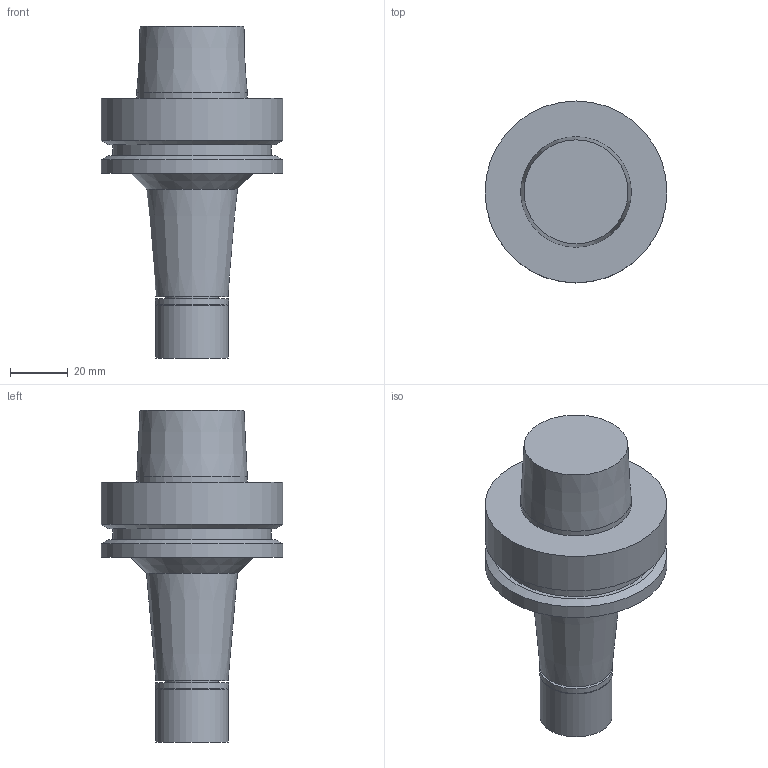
import cadquery as cq
import math


taper_height = 25.0
taper_top_radius = 36.0 / 2
taper_base_radius = 38.3 / 2
taper_land_height = 2.0

flange_radius = 63.0 / 2
flange_thickness = 26.0
groove_floor_radius = 55.0 / 2
groove_centre_z = -18.0
groove_floor_width = 3.75
groove_mouth_width = 6.75
groove_flank_angle = math.radians(60)

transition_top_radius = 42.8 / 2
transition_bottom_radius = 31.5 / 2
transition_height = 5.5
neck_end_radius = 25.0 / 2
neck_length = 37.25

recess_radius = 18.4 / 2
recess_width = 0.75
collar_radius = 25.3 / 2
collar_height = 2.0
collar_bevel_height = 0.3
nut_radius = 25.0 / 2
bottom_z = -90.0

groove_flank_height = (groove_mouth_width - groove_floor_width) / 2
groove_shoulder_radius = flange_radius - groove_flank_height * math.tan(groove_flank_angle)
groove_floor_top_z = groove_centre_z + groove_floor_width / 2
groove_floor_bottom_z = groove_centre_z - groove_floor_width / 2
transition_bottom_z = -flange_thickness - transition_height
neck_end_z = transition_bottom_z - neck_length
collar_top_z = neck_end_z - recess_width
collar_bottom_z = collar_top_z - collar_height


def revolve_profile(outline):
    """Turn an outer outline of (radius, z) points, listed top to bottom, into a solid about Z."""
    axis_top = (0, outline[0][1])
    axis_bottom = (0, outline[-1][1])
    profile = cq.Workplane("YZ").polyline([axis_top, *outline, axis_bottom]).close()
    return profile.revolve(360, (0, 0, 0), (0, 1, 0))


def locating_taper():
    return revolve_profile([
        (taper_top_radius, taper_height),
        (taper_base_radius, taper_land_height),
        (taper_base_radius, 0),
    ])


def flange():
    return revolve_profile([
        (flange_radius, 0),
        (flange_radius, groove_floor_top_z + groove_flank_height),
        (groove_shoulder_radius, groove_floor_top_z),
        (groove_floor_radius, groove_floor_top_z),
        (groove_floor_radius, groove_floor_bottom_z),
        (groove_shoulder_radius, groove_floor_bottom_z),
        (flange_radius, groove_floor_bottom_z - groove_flank_height),
        (flange_radius, -flange_thickness),
    ])


def neck():
    return revolve_profile([
        (transition_top_radius, -flange_thickness),
        (transition_bottom_radius, transition_bottom_z),
        (neck_end_radius, neck_end_z),
    ])


def clamping_nut():
    return revolve_profile([
        (recess_radius, neck_end_z),
        (recess_radius, collar_top_z),
        (collar_radius, collar_top_z),
        (collar_radius, collar_bottom_z),
        (nut_radius, collar_bottom_z - collar_bevel_height),
        (nut_radius, bottom_z),
    ])


result = locating_taper().union(flange()).union(neck()).union(clamping_nut())